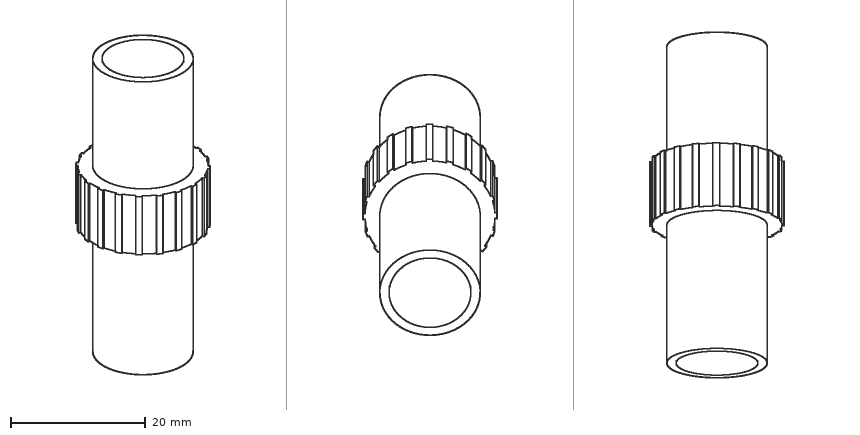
import cadquery as cq

tube_length = 49.3
tube_diameter = 15.0
bore_diameter = 12.2

collar_bottom = 21.5
collar_height = 9.8
collar_radius = 9.7

rib_count = 20
rib_width = 1.0
rib_outer_radius = 10.0


def make_disc(radius, bottom, height):
    return cq.Workplane("XY").workplane(offset=bottom).circle(radius).extrude(height)


def make_ribs():
    """Parallel-sided bars across the axis, trimmed to a common outer radius; each makes two opposite ribs."""
    bar_length = 2 * rib_outer_radius + rib_width
    bar = (
        cq.Workplane("XY")
        .workplane(offset=collar_bottom)
        .rect(bar_length, rib_width)
        .extrude(collar_height)
    )
    bars = bar
    for index in range(1, rib_count // 2):
        bars = bars.union(bar.rotate((0, 0, 0), (0, 0, 1), index * 360 / rib_count))
    return bars.intersect(make_disc(rib_outer_radius, collar_bottom, collar_height))


tube = make_disc(tube_diameter / 2, 0, tube_length)
collar = make_disc(collar_radius, collar_bottom, collar_height)
bore = make_disc(bore_diameter / 2, 0, tube_length)

result = tube.union(collar).union(make_ribs()).cut(bore)